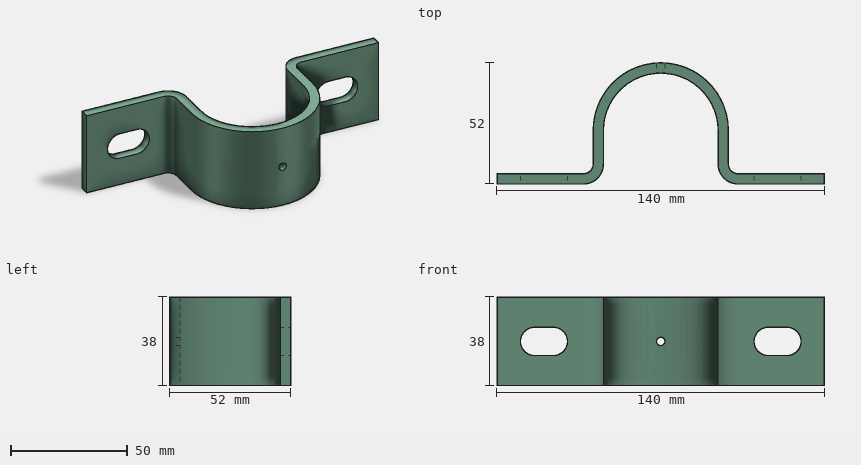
import cadquery as cq

length = 140.0
depth = 52.0
height = 38.0
thickness = 4.5

saddle_outer_radius = 29.0
saddle_inner_radius = saddle_outer_radius - thickness
bend_inner_radius = 4.0
bend_outer_radius = bend_inner_radius + thickness

slot_length = 20.0
slot_width = 12.0
slot_spacing = 100.0
pin_hole_diameter = 3.5

foot_front = saddle_outer_radius - depth
foot_back = foot_front + thickness
bend_center_x = saddle_outer_radius + bend_inner_radius
bend_center_y = foot_back + bend_inner_radius


def saddle_strip():
    """Bent strip: foot, leg, half-round crown, leg, foot."""
    half_length = length / 2
    return (
        cq.Workplane("XY")
        .moveTo(-half_length, foot_front)
        .lineTo(-bend_center_x, foot_front)
        .radiusArc((-saddle_inner_radius, bend_center_y), -bend_outer_radius)
        .lineTo(-saddle_inner_radius, 0)
        .threePointArc((0, saddle_inner_radius), (saddle_inner_radius, 0))
        .lineTo(saddle_inner_radius, bend_center_y)
        .radiusArc((bend_center_x, foot_front), -bend_outer_radius)
        .lineTo(half_length, foot_front)
        .lineTo(half_length, foot_back)
        .lineTo(bend_center_x, foot_back)
        .radiusArc((saddle_outer_radius, bend_center_y), bend_inner_radius)
        .lineTo(saddle_outer_radius, 0)
        .threePointArc((0, saddle_outer_radius), (-saddle_outer_radius, 0))
        .lineTo(-saddle_outer_radius, bend_center_y)
        .radiusArc((-bend_center_x, foot_back), bend_inner_radius)
        .lineTo(-half_length, foot_back)
        .close()
        .extrude(height / 2, both=True)
    )


def foot_slots():
    """Cutter for the slot through each foot."""
    return (
        cq.Workplane("XZ")
        .pushPoints([(-slot_spacing / 2, 0), (slot_spacing / 2, 0)])
        .slot2D(slot_length, slot_width)
        .extrude(depth, both=True)
    )


def pin_hole():
    """Cutter for the small hole through the crown of the saddle."""
    return cq.Workplane("XZ").circle(pin_hole_diameter / 2).extrude(depth, both=True)


result = saddle_strip().cut(foot_slots()).cut(pin_hole())